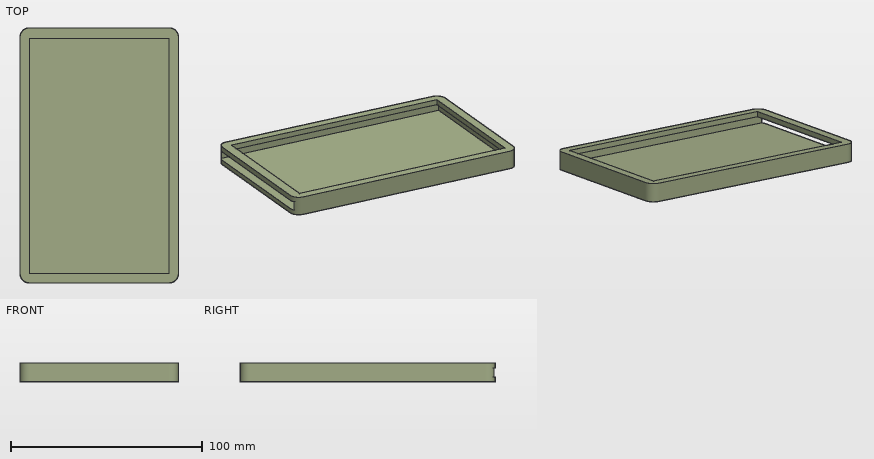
import cadquery as cq

width = 83.0
length = 133.5
height = 10.0
corner_radius = 5.0

wall = 2.5
floor_thickness = 2.5
slot_height = 4.7

rim = 5.0
open_end_rim = 5.5

slot_top = floor_thickness + slot_height
lip_thickness = height - slot_top


def corner_box(x_min, y_min, z_min, x_size, y_size, z_size):
    """Axis-aligned box located by its lowest corner."""
    box = cq.Workplane("XY").box(x_size, y_size, z_size, centered=False)
    return box.translate((x_min, y_min, z_min))


def make_body():
    """Rectangular slab with rounded vertical corners."""
    slab = cq.Workplane("XY").box(width, length, height, centered=(True, True, False))
    return slab.edges("|Z").fillet(corner_radius)


def make_slot():
    """Wide slot under the lip, walled on -X, +X and -Y and open at +Y."""
    return corner_box(
        -width / 2 + wall,
        -length / 2 + wall,
        floor_thickness,
        width - 2 * wall,
        length - wall,
        slot_height,
    )


def make_window():
    """Sharp-cornered opening through the lip, down into the slot."""
    return corner_box(
        -width / 2 + rim,
        -length / 2 + rim,
        slot_top,
        width - 2 * rim,
        length - rim - open_end_rim,
        lip_thickness,
    )


result = make_body().cut(make_slot()).cut(make_window())